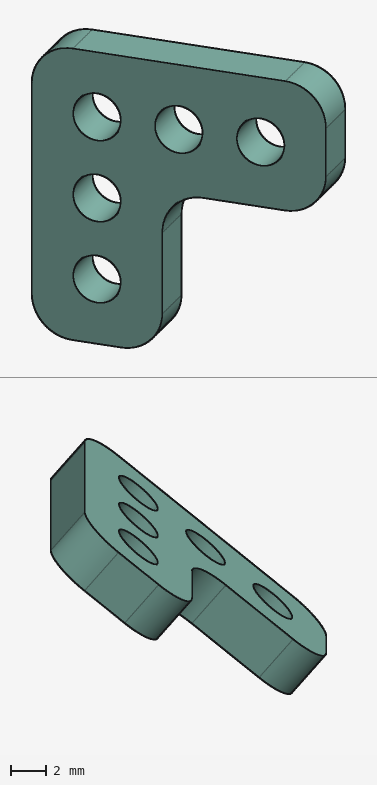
import cadquery as cq

side_length = 18.0
thickness = 3.0
arm_width = 8.0
corner_radius = 2.5
hole_diameter = 2.9
holes_per_arm = 3

hole_inset = arm_width / 2
hole_pitch = (side_length - arm_width) / (holes_per_arm - 1)


def make_plate():
    """L-shaped plate in the XZ plane, with its outer corner at the top left."""
    arm_underside = side_length - arm_width
    outline = [
        (0, 0),
        (arm_width, 0),
        (arm_width, arm_underside),
        (side_length, arm_underside),
        (side_length, side_length),
        (0, side_length),
    ]
    plate = cq.Workplane("XZ").polyline(outline).close().extrude(-thickness)
    return plate.edges("|Y").fillet(corner_radius)


def hole_centers():
    """The corner hole is shared by both arms."""
    top_row = side_length - hole_inset
    across = [(hole_inset + i * hole_pitch, top_row) for i in range(holes_per_arm)]
    down = [(hole_inset, top_row - i * hole_pitch) for i in range(1, holes_per_arm)]
    return across + down


def make_holes():
    """Cylinders through the full thickness."""
    sketch = cq.Workplane("XZ").pushPoints(hole_centers())
    return sketch.circle(hole_diameter / 2).extrude(-thickness)


result = make_plate().cut(make_holes())